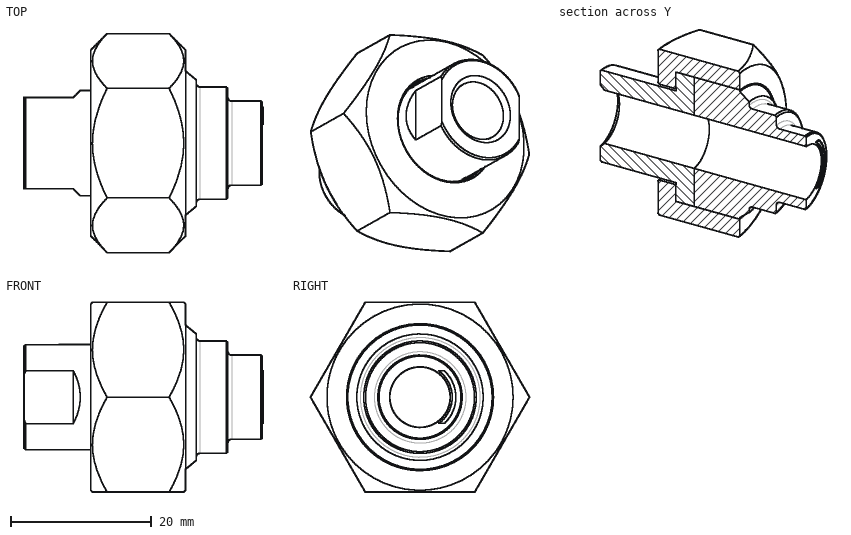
import cadquery as cq
import math


NUT_START = 9.5
NUT_LENGTH = 13.5
NUT_END = NUT_START + NUT_LENGTH
LIP_THICKNESS = 3.0
LIP_END = NUT_START + LIP_THICKNESS
COLLAR_THICKNESS = 3.0
JOINT = LIP_END + COLLAR_THICKNESS
CONE_END = 24.5
STEP_END = 29.0
FITTING_END = 33.85
OVERALL_LENGTH = 34.0

ACROSS_FLATS = 27.0
ACROSS_CORNERS = ACROSS_FLATS / math.cos(math.radians(30))
NUT_THREAD_RADIUS = 20.9 / 2
NUT_HOLE_RADIUS = 15.5 / 2

TAIL_RADIUS = 15.0 / 2
WRENCH_WIDTH = 13.0
WRENCH_LENGTH = 7.0

CONE_START_RADIUS = 10.27
CONE_END_RADIUS = 18.0 / 2
STEP_RADIUS = 16.0 / 2
SPIGOT_RADIUS = 12.0 / 2

PAD_INNER_RADIUS = 4.6
PAD_OUTER_RADIUS = 5.1
PAD_WIDTH = 7.48

BORE_RADIUS = 8.57 / 2
BORE_MOUTH_RADIUS = 10.0 / 2
EDGE_CHAMFER = 0.255
SPIGOT_CHAMFER = 0.17
ROOT_FILLET = 0.5


def revolve_about_x(profile):
    """Turn a closed (X, radius) profile about the X axis."""
    return profile.close().revolve(360, (0, 0, 0), (1, 0, 0))


def cylinder(start, end, radius):
    return cq.Workplane("YZ", origin=(start, 0, 0)).circle(radius).extrude(end - start)


def make_nut():
    """Hexagon with corners along Y, turned at both ends by 45 degree cones."""
    hexagon = (
        cq.Workplane("YZ", origin=(NUT_START, 0, 0))
        .polygon(6, ACROSS_CORNERS)
        .extrude(NUT_LENGTH)
    )
    face_radius = ACROSS_FLATS / 2 - EDGE_CHAMFER
    corner_radius = ACROSS_CORNERS / 2
    corner_cut = corner_radius - face_radius
    turned_blank = revolve_about_x(
        cq.Workplane("XY")
        .moveTo(NUT_START, 0)
        .lineTo(NUT_START, face_radius)
        .lineTo(NUT_START + corner_cut, corner_radius)
        .lineTo(NUT_END - corner_cut, corner_radius)
        .lineTo(NUT_END, face_radius)
        .lineTo(NUT_END, 0)
    )
    cavity = revolve_about_x(
        cq.Workplane("XY")
        .moveTo(NUT_START, 0)
        .lineTo(NUT_START, NUT_HOLE_RADIUS + EDGE_CHAMFER)
        .lineTo(NUT_START + EDGE_CHAMFER, NUT_HOLE_RADIUS)
        .lineTo(LIP_END, NUT_HOLE_RADIUS)
        .lineTo(LIP_END, NUT_THREAD_RADIUS)
        .lineTo(NUT_END, NUT_THREAD_RADIUS)
        .lineTo(NUT_END, 0)
    )
    return hexagon.intersect(turned_blank).cut(cavity)


def wrench_flat_cutter():
    """Material above the +Y wrench flat, with a 45 degree run-out."""
    flat_height = WRENCH_WIDTH / 2
    cut_depth = TAIL_RADIUS - flat_height
    return (
        cq.Workplane("XY")
        .moveTo(0, flat_height)
        .lineTo(WRENCH_LENGTH, flat_height)
        .lineTo(WRENCH_LENGTH + cut_depth, TAIL_RADIUS)
        .lineTo(0, TAIL_RADIUS)
        .close()
        .extrude(TAIL_RADIUS, both=True)
    )


def make_tail_piece():
    """Tube with two wrench flats and a collar held behind the nut lip."""
    tube = cylinder(0, JOINT, TAIL_RADIUS).faces("<X").chamfer(EDGE_CHAMFER)
    collar = cylinder(LIP_END, JOINT, NUT_THREAD_RADIUS)
    mouth_depth = BORE_MOUTH_RADIUS - BORE_RADIUS
    bore = revolve_about_x(
        cq.Workplane("XY")
        .lineTo(0, BORE_MOUTH_RADIUS)
        .lineTo(mouth_depth, BORE_RADIUS)
        .lineTo(JOINT, BORE_RADIUS)
        .lineTo(JOINT, 0)
    )
    flat = wrench_flat_cutter()
    return tube.union(collar).cut(bore).cut(flat).cut(flat.mirror("XZ"))


def make_end_pad():
    """Thin arc-shaped pad on the +Y side of the fitting's end face."""
    height = OVERALL_LENGTH - FITTING_END
    ring = cylinder(FITTING_END, OVERALL_LENGTH, PAD_OUTER_RADIUS).cut(
        cylinder(FITTING_END, OVERALL_LENGTH, PAD_INNER_RADIUS)
    )
    window = cq.Workplane("XY").box(
        height, PAD_OUTER_RADIUS, PAD_WIDTH, centered=(False, False, True)
    ).translate((FITTING_END, 0, 0))
    return ring.intersect(window)


def make_fitting():
    """Threaded shank, cone and two stepped diameters with filleted roots."""
    root_arc = ROOT_FILLET * (1 - math.sqrt(0.5))
    body = revolve_about_x(
        cq.Workplane("XY")
        .moveTo(JOINT, BORE_RADIUS)
        .lineTo(JOINT, NUT_THREAD_RADIUS)
        .lineTo(NUT_END, NUT_THREAD_RADIUS)
        .lineTo(NUT_END, CONE_START_RADIUS)
        .lineTo(CONE_END, CONE_END_RADIUS)
        .lineTo(CONE_END, STEP_RADIUS + ROOT_FILLET)
        .threePointArc(
            (CONE_END + root_arc, STEP_RADIUS + root_arc),
            (CONE_END + ROOT_FILLET, STEP_RADIUS),
        )
        .lineTo(STEP_END - EDGE_CHAMFER, STEP_RADIUS)
        .lineTo(STEP_END, STEP_RADIUS - EDGE_CHAMFER)
        .lineTo(STEP_END, SPIGOT_RADIUS + ROOT_FILLET)
        .threePointArc(
            (STEP_END + root_arc, SPIGOT_RADIUS + root_arc),
            (STEP_END + ROOT_FILLET, SPIGOT_RADIUS),
        )
        .lineTo(FITTING_END - SPIGOT_CHAMFER, SPIGOT_RADIUS)
        .lineTo(FITTING_END, SPIGOT_RADIUS - SPIGOT_CHAMFER)
        .lineTo(FITTING_END, BORE_RADIUS)
    )
    return body.union(make_end_pad())


nut = make_nut()
tail_piece = make_tail_piece()
fitting = make_fitting()

result = cq.Compound.makeCompound([nut.val(), tail_piece.val(), fitting.val()])